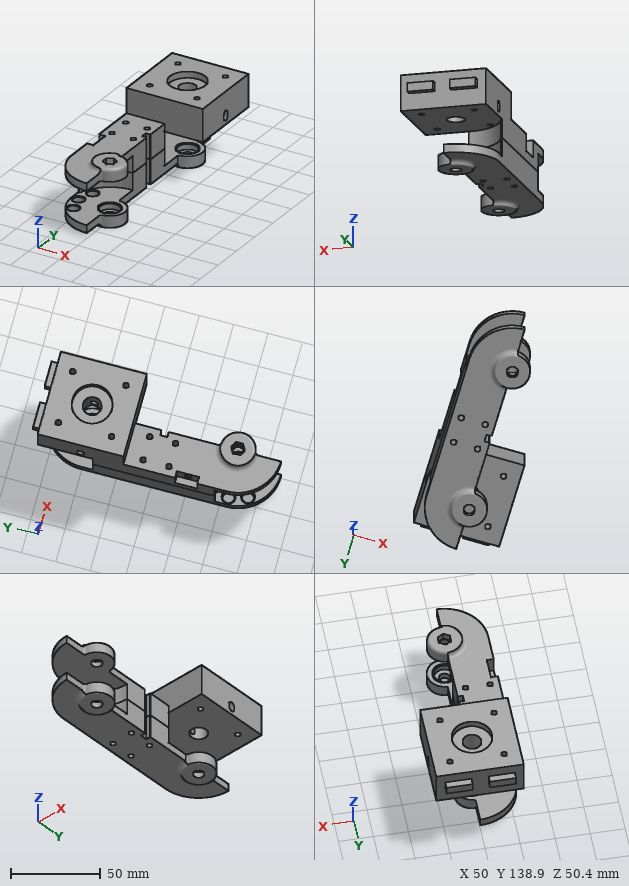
import cadquery as cq
import math

arm_radius = 25.0
pivot_distance = 84.9
gap_height = 21.5
plate_thickness = 5.0
boss_height = 2.9
boss_radius = 10.0
boss_corner_radius = 1.4
upper_boss_rounding = 2.0
lower_boss_rounding = 1.0
plate_edge_offset = 0.1

web_clearance_radius = 25.2
web_end_distance = 7.1

block_height = 21.0
block_recess_diameter = 23.0
block_recess_depth = 4.0
block_bore_diameter = 10.5
motor_hole_spacing = 31.0
motor_hole_diameter = 3.2
side_slot_width = 4.0
side_slot_length = 6.3
side_slot_depth_below_top = 15.3

tab_width = 15.0
tab_length = 4.0
tab_height = 5.0
tab_spacing = 24.7
tab_depth_below_top = 6.1

pivot_hole_diameter = 6.4
hex_across_flats = 7.0
hex_depth = 4.0
bearing_diameter = 12.2
bearing_rim_diameter = 13.8
bearing_rim_depth = 0.5
bearing_depth = 4.0

detent_hole_diameter = 7.0
detent_chamfer = 0.5
detent_depth = 4.0
detent_circle_radius = 20.5
detent_pitch_angle = 31.0

screw_hole_diameter = 3.2
screw_spacing_x = 14.0
screw_spacing_y = 15.0
screw_center_x = -12.5

notch_width = 4.0
notch_depth = 3.0
notch_corner_chamfer = 0.5

pocket_width = 12.9
pocket_height = 10.0
pocket_depth = 4.0
pocket_from_pivot = 23.5
pocket_hole_diameter = 4.0
pocket_hole_depth = 6.0

half_gap = gap_height / 2
plate_top = half_gap + plate_thickness
boss_top = plate_top + boss_height
block_top = half_gap + block_height
half_length = pivot_distance / 2


def cylinder(diameter, bottom, top, x=0.0):
    return cq.Workplane("XY", origin=(x, 0, bottom)).circle(diameter / 2).extrude(top - bottom)


def box(x_range, y_range, z_range):
    size = [high - low for low, high in (x_range, y_range, z_range)]
    return cq.Workplane("XY").box(*size, centered=False).translate((x_range[0], y_range[0], z_range[0]))


def straight_half():
    """Web and plate from the pivot to the middle of the arm.

    The web end is concave around the pivot, with a radial stop face at its -X tip.
    """
    web = box((-arm_radius, 0), (0, half_length), (0, half_gap))
    stop_wedge = (
        cq.Workplane("XY")
        .polyline([(0, 0), (-arm_radius, web_end_distance), (-arm_radius, 0)])
        .close()
        .extrude(half_gap)
    )
    web = web.cut(cylinder(2 * web_clearance_radius, 0, half_gap)).cut(stop_wedge)
    plate = box((-arm_radius, 0), (0, half_length), (half_gap, plate_top))
    return web.union(plate)


def flare_cutter(rounding=0):
    """Ring that leaves a boss whose side sweeps out to the plate in a concave quarter round.

    A rounding above zero also breaks the top edge with an arc tangent to the top and the sweep.
    """
    outside = 2 * arm_radius
    foot_radius = boss_radius + boss_height
    inset = boss_height * (1 - math.sqrt(0.5))
    profile = cq.Workplane("XZ")
    if rounding:
        reach = boss_height + rounding
        lean = math.asin(rounding / reach)
        crown_radius = foot_radius - reach * math.cos(lean)
        crown_angle = (math.pi / 2 - lean) / 2
        crown_middle = (
            crown_radius + rounding * math.sin(crown_angle),
            boss_top - rounding + rounding * math.cos(crown_angle),
        )
        crown_end = (
            foot_radius - boss_height * math.cos(lean),
            boss_top - boss_height * math.sin(lean),
        )
        profile = profile.moveTo(crown_radius, boss_top).threePointArc(crown_middle, crown_end)
    else:
        profile = profile.moveTo(boss_radius, boss_top)
    return (
        profile.threePointArc((boss_radius + inset, plate_top + inset), (foot_radius, plate_top))
        .lineTo(outside, plate_top)
        .lineTo(outside, boss_top)
        .close()
        .revolve(360, (0, 0, 0), (0, 1, 0))
    )


def rounded_end():
    """Quarter-round end plate with a full-height boss, before its foot is shaped."""
    height = boss_top - half_gap
    edge_x = -plate_edge_offset
    tip = (edge_x, -math.sqrt(arm_radius**2 - edge_x**2))
    diagonal = -arm_radius * math.sqrt(0.5)
    end = (
        cq.Workplane("XY", origin=(0, 0, half_gap))
        .moveTo(-arm_radius, 0)
        .threePointArc((diagonal, diagonal), tip)
        .lineTo(edge_x, half_length)
        .lineTo(-arm_radius, half_length)
        .close()
        .extrude(height)
    )
    end = end.union(cylinder(2 * boss_radius, half_gap, boss_top))
    corner_y = math.sqrt(boss_radius**2 - edge_x**2)
    for y in (-corner_y, corner_y):
        corner = cq.selectors.NearestToPointSelector((edge_x, y, half_gap + height / 2))
        end = end.edges("|Z").edges(corner).fillet(boss_corner_radius)
    return end


def screw_holes():
    return (
        cq.Workplane("XY", origin=(screw_center_x, -half_length, -plate_top))
        .rarray(screw_spacing_x, screw_spacing_y, 2, 2)
        .circle(screw_hole_diameter / 2)
        .extrude(2 * plate_top)
    )


def edge_notch():
    """Notch in the +X side at mid length, with broken corners."""
    half_width = notch_width / 2
    mouth = half_width + notch_corner_chamfer
    return (
        cq.Workplane("XY", origin=(0, -half_length, -plate_top))
        .moveTo(-notch_depth, -half_width)
        .lineTo(-notch_corner_chamfer, -half_width)
        .lineTo(0, -mouth)
        .lineTo(0, mouth)
        .lineTo(-notch_corner_chamfer, half_width)
        .lineTo(-notch_depth, half_width)
        .close()
        .extrude(2 * plate_top)
    )


def mirrored_half(half):
    """The same arm half turned to run from a pivot toward -Y."""
    return half.mirror("XZ")


def motor_block():
    block = box((-arm_radius, arm_radius), (-arm_radius, arm_radius), (half_gap, block_top))
    tab_top = block_top - tab_depth_below_top
    for x in (-tab_spacing / 2, tab_spacing / 2):
        tab_x = (x - tab_width / 2, x + tab_width / 2)
        tab_y = (arm_radius, arm_radius + tab_length)
        block = block.union(box(tab_x, tab_y, (tab_top - tab_height, tab_top)))
    return block


def block_cuts():
    recess = cylinder(block_recess_diameter, block_top - block_recess_depth, block_top)
    bore = cylinder(block_bore_diameter, half_gap, block_top)
    motor_holes = (
        cq.Workplane("XY", origin=(0, 0, half_gap))
        .rarray(motor_hole_spacing, motor_hole_spacing, 2, 2)
        .circle(motor_hole_diameter / 2)
        .extrude(block_height)
    )
    side_slot = (
        cq.Workplane("YZ", origin=(-arm_radius, 0, block_top - side_slot_depth_below_top))
        .slot2D(side_slot_length, side_slot_width, 90)
        .extrude(2 * arm_radius)
    )
    return recess.union(bore).union(motor_holes).union(side_slot)


def side_pocket():
    """Open-topped pocket in the -X side with a blind hole in its floor."""
    center_y = pocket_from_pivot - pivot_distance
    pocket_bottom = plate_top - pocket_height
    floor_x = -arm_radius + pocket_depth
    y_range = (center_y - pocket_width / 2, center_y + pocket_width / 2)
    pocket = box((-arm_radius, floor_x), y_range, (pocket_bottom, plate_top))
    hole = (
        cq.Workplane("YZ", origin=(floor_x, center_y, pocket_bottom + pocket_height / 2))
        .circle(pocket_hole_diameter / 2)
        .extrude(pocket_hole_depth)
    )
    return pocket.union(hole)


def upper_end():
    """End plate whose boss is rounded on its free side only."""
    rim = cq.selectors.NearestToPointSelector((boss_radius, 0, boss_top))
    end = rounded_end()
    return end.faces(">Z").edges(rim).fillet(upper_boss_rounding).cut(flare_cutter())


def hex_pivot_hole():
    hex_circle = hex_across_flats / math.cos(math.pi / 6)
    socket = (
        cq.Workplane("XY", origin=(0, 0, boss_top - hex_depth))
        .polygon(6, hex_circle)
        .extrude(hex_depth)
        .rotate((0, 0, 0), (0, 0, 1), 30)
    )
    return socket.union(cylinder(pivot_hole_diameter, half_gap, boss_top))


def make_upper_body():
    pivot_half = straight_half().union(upper_end()).cut(hex_pivot_hole())
    body = pivot_half.translate((0, -pivot_distance, 0))
    body = body.union(mirrored_half(straight_half())).union(motor_block())
    return body.cut(block_cuts()).cut(side_pocket()).cut(screw_holes()).cut(edge_notch())


def lower_end():
    """End plate whose boss is rounded all around."""
    return rounded_end().cut(flare_cutter(lower_boss_rounding))


def bearing_seat():
    """Stepped bearing seat in the inner plate face and the pivot hole through the boss."""
    rim = cylinder(bearing_rim_diameter, half_gap, half_gap + bearing_rim_depth)
    seat = cylinder(bearing_diameter, half_gap, half_gap + bearing_depth)
    return rim.union(seat).union(cylinder(pivot_hole_diameter, half_gap, boss_top))


def detent_holes():
    """Three blind holes with chamfered mouths in the inner plate face, on a circle around the pivot."""
    radius = detent_hole_diameter / 2
    mouth_center = cq.Vector(-detent_circle_radius, 0, half_gap)
    mouth = cq.Solid.makeCone(radius + detent_chamfer, radius, detent_chamfer, pnt=mouth_center)
    hole = cylinder(detent_hole_diameter, half_gap, half_gap + detent_depth, x=-detent_circle_radius)
    hole = hole.union(cq.Workplane(mouth))
    holes = hole
    for angle in (-detent_pitch_angle, detent_pitch_angle):
        holes = holes.union(hole.rotate((0, 0, 0), (0, 0, 1), angle))
    return holes


def make_lower_body():
    half = straight_half().union(lower_end()).cut(bearing_seat())
    far_half = mirrored_half(half)
    near_half = half.cut(detent_holes()).translate((0, -pivot_distance, 0))
    body = near_half.union(far_half).mirror("XY")
    return body.cut(screw_holes()).cut(edge_notch())


upper_body = make_upper_body()
lower_body = make_lower_body()

result = cq.Compound.makeCompound([upper_body.val(), lower_body.val()])